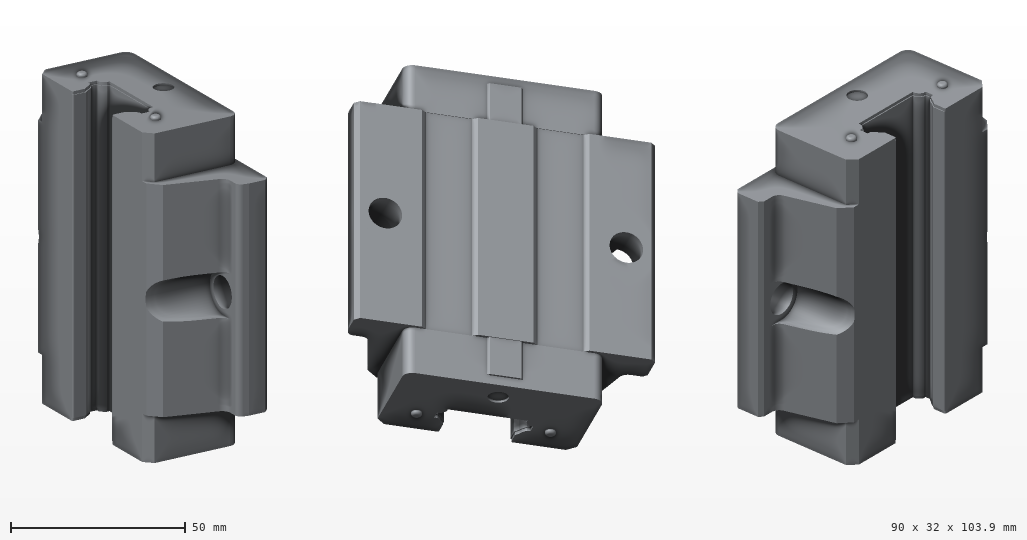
import cadquery as cq
import math


TOTAL_HEIGHT = 32.0
FLANGE_HALF_WIDTH = 45.0
BODY_LENGTH = 71.5
CAP_LENGTH = 15.0
SCREW_HEAD_HEIGHT = 1.2
FULL_LENGTH = BODY_LENGTH + 2 * CAP_LENGTH
HALF_LENGTH = FULL_LENGTH / 2

FLANGE_BOTTOM = 21.7
FLANGE_TOP_CHAMFER = 1.5
FLANGE_LOWER_CHAMFER = 1.2
DATUM_FACE_BOTTOM = 25.0
DATUM_TAPER = 0.7
DATUM_EDGE_RADIUS = 2.0
SKIRT_TOP_X = 38.1
SKIRT_LOWER_X = 33.0
SKIRT_LOWER_Y = 3.4
FOOT_HALF_WIDTH = 29.4
FLANGE_FILLET = 2.8

RELIEF_DEPTH = 1.2
RELIEF_FLANK_RUN = 1.5
RELIEF_INNER_X = 8.3
RELIEF_OUTER_X = 25.0

CAP_HALF_WIDTH = 29.8
CAP_HEIGHT = 31.0
CAP_TOP_FILLET = 3.0
CAP_LOWER_CHAMFER = 2.6
CAP_RIDGE_HALF_WIDTH = 5.4
CAP_RIDGE_HEIGHT = 0.7
CAP_RIDGE_SETBACK = 2.8

END_RECESS_RADIUS = 3.1
END_RECESS_DEPTH = 0.7
END_RECESS_Y = 24.1

GROOVE_ROOF_Y = 13.0
GROOVE_ROOF_HALF_WIDTH = 11.6
GROOVE_MOUTH_HALF_WIDTH = 10.5
POCKET_HALF_WIDTH = 14.1
POCKET_TOP_Y = 10.3
POCKET_BOTTOM_Y = 7.95
UPPER_RACE = [(GROOVE_ROOF_HALF_WIDTH, 12.3), (12.3, 11.15), (13.4, POCKET_TOP_Y)]
LOWER_RACE = [(13.3, POCKET_BOTTOM_Y), (12.45, 7.15), (11.6, 5.75)]
MOUTH_TOP_Y = 4.4
MOUTH_FILLET = 0.5
SEAL_CLEARANCE = 0.3
SEAL_LENGTH = 1.0

HOLE_X = 36.0
HOLE_RADIUS = 5.0
SPOTFACE_RADIUS = 7.0

SCREW_X = 20.0
SCREW_Y = 9.0
SCREW_HEAD_RADIUS = 1.6
SCREW_FLAT_RADIUS = 0.6
SCREW_RIM_HEIGHT = 0.5

OVERCUT = 1.0


def extrude_centred(profile, length):
    return profile.extrude(length / 2, both=True)


def both_ends(feature):
    """The feature together with its mirror image at the other end."""
    return feature.union(feature.mirror("XY"))


def both_sides(feature):
    """The feature together with its mirror image on the other side."""
    return feature.union(feature.mirror("YZ"))


def edges_at(solid, x, y):
    """Edges parallel to Z that pass through the given X and Y."""
    reach = 0.05
    low_corner = (x - reach, y - reach, -HALF_LENGTH)
    high_corner = (x + reach, y + reach, HALF_LENGTH)
    box = cq.selectors.BoxSelector(low_corner, high_corner)
    return solid.edges("|Z").edges(box)


def make_body():
    """Flanged body; the +X flange has a datum face that tapers inward above a rounded lower edge."""
    datum_corner_x = FLANGE_HALF_WIDTH - DATUM_TAPER
    outline = [
        (-FLANGE_HALF_WIDTH, TOTAL_HEIGHT),
        (-FLANGE_HALF_WIDTH, FLANGE_BOTTOM),
        (-SKIRT_TOP_X, FLANGE_BOTTOM),
        (-SKIRT_LOWER_X, SKIRT_LOWER_Y),
        (-FOOT_HALF_WIDTH, 0),
        (FOOT_HALF_WIDTH, 0),
        (SKIRT_LOWER_X, SKIRT_LOWER_Y),
        (SKIRT_TOP_X, FLANGE_BOTTOM),
        (datum_corner_x, FLANGE_BOTTOM),
        (FLANGE_HALF_WIDTH, DATUM_FACE_BOTTOM),
        (FLANGE_HALF_WIDTH, TOTAL_HEIGHT),
    ]
    body = extrude_centred(cq.Workplane("XY").polyline(outline).close(), BODY_LENGTH)
    for side in (-1, 1):
        body = edges_at(body, side * SKIRT_TOP_X, FLANGE_BOTTOM).fillet(FLANGE_FILLET)
        body = edges_at(body, side * FLANGE_HALF_WIDTH, TOTAL_HEIGHT).chamfer(FLANGE_TOP_CHAMFER)
    body = edges_at(body, -FLANGE_HALF_WIDTH, FLANGE_BOTTOM).chamfer(FLANGE_LOWER_CHAMFER)
    return edges_at(body, datum_corner_x, FLANGE_BOTTOM).fillet(DATUM_EDGE_RADIUS)


def make_relief_channels():
    """Two shallow channels with sloping flanks."""
    floor_y = TOTAL_HEIGHT - RELIEF_DEPTH
    channel = (
        cq.Workplane("XY")
        .moveTo(RELIEF_INNER_X, TOTAL_HEIGHT)
        .lineTo(RELIEF_INNER_X + RELIEF_FLANK_RUN, floor_y)
        .lineTo(RELIEF_OUTER_X - RELIEF_FLANK_RUN, floor_y)
        .lineTo(RELIEF_OUTER_X, TOTAL_HEIGHT)
        .close()
    )
    return both_sides(extrude_centred(channel, BODY_LENGTH))


def make_mounting_holes():
    """Through holes, each spot-faced from below with the spot face open to the outside."""
    below = cq.Workplane("XZ", origin=(HOLE_X, 0, 0))
    hole = below.circle(HOLE_RADIUS).extrude(-TOTAL_HEIGHT)
    spotface = below.circle(SPOTFACE_RADIUS).extrude(-FLANGE_BOTTOM)
    opening_length = FLANGE_HALF_WIDTH - HOLE_X
    opening = cq.Workplane("XY").box(
        opening_length, FLANGE_BOTTOM, 2 * SPOTFACE_RADIUS, centered=(False, False, True)
    )
    return both_sides(hole.union(spotface).union(opening.translate((HOLE_X, 0, 0))))


def make_end_cap():
    block = (
        cq.Workplane("XY")
        .rect(2 * CAP_HALF_WIDTH, CAP_HEIGHT)
        .extrude(CAP_LENGTH)
        .translate((0, CAP_HEIGHT / 2, BODY_LENGTH / 2))
    )
    for side in (-1, 1):
        block = edges_at(block, side * CAP_HALF_WIDTH, CAP_HEIGHT).fillet(CAP_TOP_FILLET)
        block = edges_at(block, side * CAP_HALF_WIDTH, 0).chamfer(CAP_LOWER_CHAMFER)
    ridge_top = CAP_HEIGHT + CAP_RIDGE_HEIGHT
    ridge_top_half_width = CAP_RIDGE_HALF_WIDTH - CAP_RIDGE_HEIGHT
    ridge = (
        cq.Workplane("XY", origin=(0, 0, BODY_LENGTH / 2))
        .moveTo(-CAP_RIDGE_HALF_WIDTH, CAP_HEIGHT)
        .lineTo(CAP_RIDGE_HALF_WIDTH, CAP_HEIGHT)
        .lineTo(ridge_top_half_width, ridge_top)
        .lineTo(-ridge_top_half_width, ridge_top)
        .close()
        .extrude(CAP_LENGTH - CAP_RIDGE_SETBACK)
    )
    recess = (
        cq.Workplane("XY", origin=(0, END_RECESS_Y, HALF_LENGTH))
        .circle(END_RECESS_RADIUS)
        .extrude(-END_RECESS_DEPTH)
    )
    return block.union(ridge).cut(recess)


def groove_outline():
    """Closed rail-groove section, reaching below the bottom face."""

    def left(point):
        return (-point[0], point[1])

    return (
        cq.Workplane("XY")
        .moveTo(GROOVE_MOUTH_HALF_WIDTH, -OVERCUT)
        .lineTo(GROOVE_MOUTH_HALF_WIDTH, MOUTH_TOP_Y)
        .lineTo(*LOWER_RACE[2])
        .threePointArc(LOWER_RACE[1], LOWER_RACE[0])
        .lineTo(POCKET_HALF_WIDTH, POCKET_BOTTOM_Y)
        .lineTo(POCKET_HALF_WIDTH, POCKET_TOP_Y)
        .lineTo(*UPPER_RACE[2])
        .threePointArc(UPPER_RACE[1], UPPER_RACE[0])
        .lineTo(GROOVE_ROOF_HALF_WIDTH, GROOVE_ROOF_Y)
        .lineTo(-GROOVE_ROOF_HALF_WIDTH, GROOVE_ROOF_Y)
        .lineTo(*left(UPPER_RACE[0]))
        .threePointArc(left(UPPER_RACE[1]), left(UPPER_RACE[2]))
        .lineTo(-POCKET_HALF_WIDTH, POCKET_TOP_Y)
        .lineTo(-POCKET_HALF_WIDTH, POCKET_BOTTOM_Y)
        .lineTo(*left(LOWER_RACE[0]))
        .threePointArc(left(LOWER_RACE[1]), left(LOWER_RACE[2]))
        .lineTo(-GROOVE_MOUTH_HALF_WIDTH, MOUTH_TOP_Y)
        .lineTo(-GROOVE_MOUTH_HALF_WIDTH, -OVERCUT)
        .close()
    )


def rounded_mouth(half_width, length):
    """Slivers removed to round the two mouth edges of a groove of the given half width."""
    mid_arc = MOUTH_FILLET * (1 - math.sqrt(0.5))
    sliver = (
        cq.Workplane("XY")
        .moveTo(half_width, MOUTH_FILLET)
        .threePointArc((half_width + mid_arc, mid_arc), (half_width + MOUTH_FILLET, 0))
        .lineTo(half_width, 0)
        .close()
        .extrude(length)
    )
    return both_sides(sliver)


def cut_groove(carriage):
    """Rail groove, slightly wider over a short length at each end, with rounded mouth edges."""
    groove = extrude_centred(groove_outline(), FULL_LENGTH)
    seal_start = HALF_LENGTH - SEAL_LENGTH
    groove_mouth = rounded_mouth(GROOVE_MOUTH_HALF_WIDTH, seal_start)
    seal_gap = groove_outline().offset2D(SEAL_CLEARANCE, "intersection").extrude(SEAL_LENGTH)
    seal_mouth = rounded_mouth(GROOVE_MOUTH_HALF_WIDTH + SEAL_CLEARANCE, SEAL_LENGTH)
    carriage = carriage.cut(groove).cut(both_ends(groove_mouth))
    for tool in (seal_gap, seal_mouth):
        carriage = carriage.cut(both_ends(tool.translate((0, 0, seal_start))))
    return carriage


def make_screw_heads():
    """Domed heads with a small flat top, standing on the end face."""
    dome_width = SCREW_HEAD_RADIUS - SCREW_FLAT_RADIUS
    dome_height = SCREW_HEAD_HEIGHT - SCREW_RIM_HEIGHT
    quarter_turn = math.sqrt(0.5)
    bulge_x = SCREW_FLAT_RADIUS + quarter_turn * dome_width
    bulge_z = SCREW_RIM_HEIGHT + quarter_turn * dome_height
    head = (
        cq.Workplane("XZ")
        .lineTo(SCREW_HEAD_RADIUS, 0)
        .lineTo(SCREW_HEAD_RADIUS, SCREW_RIM_HEIGHT)
        .threePointArc((bulge_x, bulge_z), (SCREW_FLAT_RADIUS, SCREW_HEAD_HEIGHT))
        .lineTo(0, SCREW_HEAD_HEIGHT)
        .close()
        .revolve(360, (0, 0, 0), (0, 1, 0))
    )
    return both_ends(both_sides(head.translate((SCREW_X, SCREW_Y, HALF_LENGTH))))


carriage = make_body().cut(make_relief_channels()).cut(make_mounting_holes())
carriage = carriage.union(both_ends(make_end_cap()))
carriage = cut_groove(carriage)
result = carriage.union(make_screw_heads())